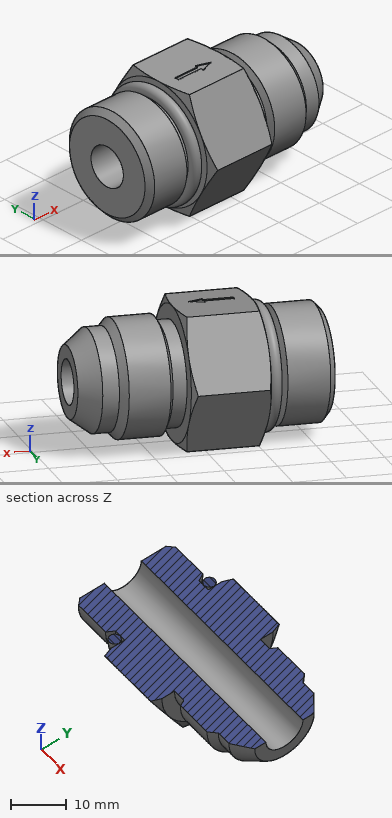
import cadquery as cq
import math

overall_length = 47.24
hex_start = 12.7
hex_length = 15.0
hex_end = hex_start + hex_length

hex_across_flats = 25.4
hex_across_corners = hex_across_flats / math.cos(math.radians(30))
hex_chamfer_angle = 21.0

thread_radius = 22.23 / 2
thread_relief_slope = math.tan(math.radians(60))
bore_diameter = 8.41

port_tip_radius = 19.68 / 2
port_tip_chamfer = 1.2
port_thread_end = 9.2

ring_section_radius = 2.46 / 2
ring_inner_radius = 19.18 / 2
ring_center_radius = ring_inner_radius + ring_section_radius
ring_center_x = hex_start - ring_section_radius
groove_radius = ring_inner_radius
groove_start = port_thread_end + (thread_radius - groove_radius) / thread_relief_slope

neck_radius = 19.68 / 2
flare_thread_start = 31.05
neck_end = flare_thread_start - (thread_radius - neck_radius) / thread_relief_slope
flare_thread_end = 38.85
nose_radius = 19.36 / 2
nose_start = flare_thread_end + (thread_radius - nose_radius)
cone_start = 43.4
cone_angle = 37.0
cone_tip_radius = nose_radius - (overall_length - cone_start) * math.tan(math.radians(cone_angle))

arrow_tail_x = 15.7
arrow_head_x = 21.35
arrow_tip_x = 24.2
arrow_center_y = -1.63
arrow_shaft_half_width = 0.44
arrow_head_half_width = 1.02
arrow_depth = 0.2


def revolve_about_x(profile):
    """Full turn about the X axis of a closed XY profile."""
    return profile.revolve(360, (0, 0, 0), (1, 0, 0))


def make_turned_core():
    """Port thread, O-ring groove, neck, flare thread and 37 degree nose."""
    profile = (
        cq.Workplane("XY")
        .moveTo(0, 0)
        .lineTo(0, port_tip_radius)
        .lineTo(port_tip_chamfer, thread_radius)
        .lineTo(port_thread_end, thread_radius)
        .lineTo(groove_start, groove_radius)
        .lineTo(hex_start, groove_radius)
        .lineTo(hex_start, neck_radius)
        .lineTo(neck_end, neck_radius)
        .lineTo(flare_thread_start, thread_radius)
        .lineTo(flare_thread_end, thread_radius)
        .lineTo(nose_start, nose_radius)
        .lineTo(cone_start, nose_radius)
        .lineTo(overall_length, cone_tip_radius)
        .lineTo(overall_length, 0)
        .close()
    )
    return revolve_about_x(profile)


def make_hexagon():
    """Hexagon with flats at +Z and -Z, its corners turned off at both ends."""
    prism = (
        cq.Workplane("YZ", origin=(hex_start, 0, 0))
        .polygon(6, hex_across_corners)
        .extrude(hex_length)
    )
    face_radius = hex_across_flats / 2
    corner_radius = hex_across_corners / 2
    chamfer_depth = (corner_radius - face_radius) * math.tan(math.radians(hex_chamfer_angle))
    envelope_profile = (
        cq.Workplane("XY")
        .moveTo(hex_start, 0)
        .lineTo(hex_start, face_radius)
        .lineTo(hex_start + chamfer_depth, corner_radius)
        .lineTo(hex_end - chamfer_depth, corner_radius)
        .lineTo(hex_end, face_radius)
        .lineTo(hex_end, 0)
        .close()
    )
    return prism.intersect(revolve_about_x(envelope_profile))


def make_bore():
    """Straight flow passage through the whole fitting."""
    return cq.Workplane("YZ").circle(bore_diameter / 2).extrude(overall_length)


def make_arrow():
    """Flow arrow pointing toward +X, just below the top flat."""
    return (
        cq.Workplane("XY", origin=(0, arrow_center_y, hex_across_flats / 2 - arrow_depth))
        .moveTo(arrow_tail_x, -arrow_shaft_half_width)
        .lineTo(arrow_head_x, -arrow_shaft_half_width)
        .lineTo(arrow_head_x, -arrow_head_half_width)
        .lineTo(arrow_tip_x, 0)
        .lineTo(arrow_head_x, arrow_head_half_width)
        .lineTo(arrow_head_x, arrow_shaft_half_width)
        .lineTo(arrow_tail_x, arrow_shaft_half_width)
        .close()
        .extrude(arrow_depth)
    )


def make_fitting_body():
    """Adapter body: turned core and hexagon, bored through and engraved."""
    return make_turned_core().union(make_hexagon()).cut(make_bore()).cut(make_arrow())


def make_o_ring():
    """Round-section seal ring around the port groove."""
    section = cq.Workplane("XY").moveTo(ring_center_x, ring_center_radius).circle(ring_section_radius)
    return revolve_about_x(section)


fitting_body = make_fitting_body()
o_ring = make_o_ring()

result = cq.Compound.makeCompound([fitting_body.val(), o_ring.val()])